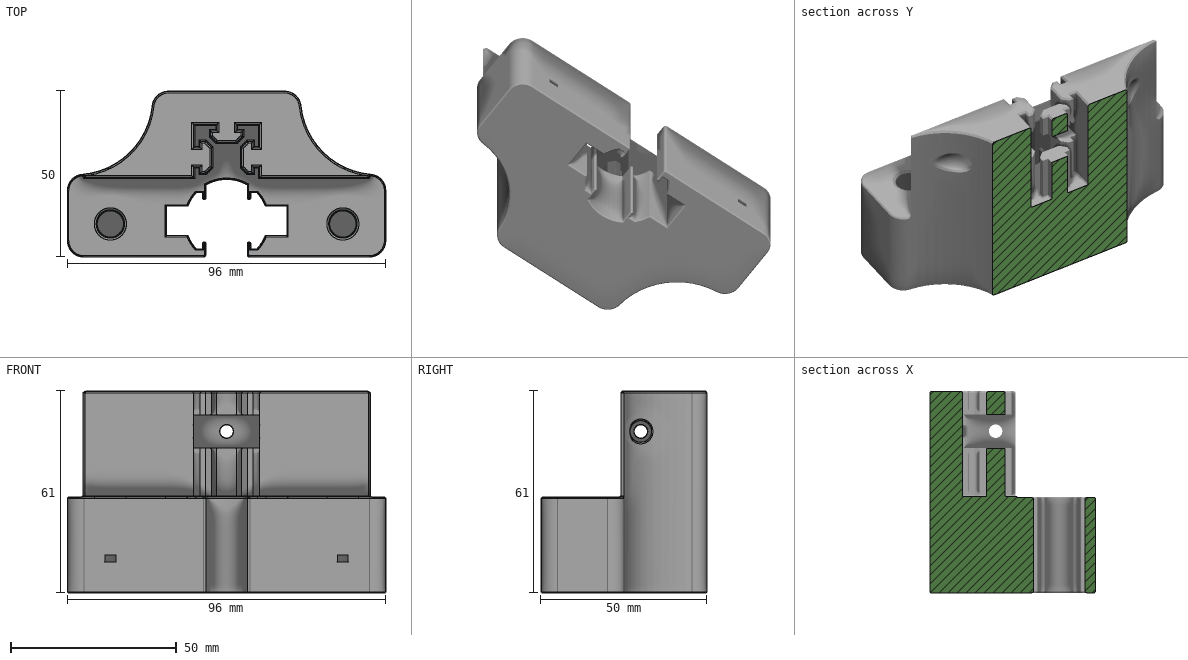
import cadquery as cq
import math

width = 96.0
depth = 50.0
height = 61.0
base_height = 29.0
tower_front = 24.0

corner_radius = 5.0
side_corner_y = 20.0
back_flat_half = 17.5
flank_radius = 23.0

tip_half = 43.3
tip_run = 0.6
tip_rise = 0.9

top_chamfer = 0.53
base_chamfer = 0.4
flare = 0.4

rail_half = 10.0
rail_y = 30.0
tongue_neck_half = 2.9
tongue_head_half = 4.8
tongue_head_back = 8.0
tongue_tip = 4.5
tongue_bevel = 1.8

screw_z = 48.8
screw_window = 10.0
screw_diameter = 4.0
screw_head_diameter = 6.5
screw_head_chamfer = 0.5

pocket_y = 10.9
pocket_radius = 12.5
pocket_flat_half = 8.4
wing_half_length = 18.1
wing_half_width = 4.4
mouth_half = 6.2
mouth_radius = 0.8
lip_thickness = 1.1
lip_tip = 6.4

pin_x = 35.0
pin_y = 10.0
pin_diameter = 8.0
pin_rim_diameter = 9.7
pin_rim_chamfer = 0.6
window_width = 3.3
window_height = 2.1
window_z = 10.5

margin = 19.2
far = width


def box(x0, x1, y0, y1, z0, z1):
    """Box between two opposite corners."""
    return cq.Workplane("XY").box(x1 - x0, y1 - y0, z1 - z0, centered=False).translate((x0, y0, z0))


def mirror_x(point):
    """Point reflected to the other side of the middle plane."""
    return (-point[0], point[1])


def toward(start, end, distance):
    """Point at a distance from start on the line to end."""
    ratio = distance / math.dist(start, end)
    return tuple(a + (b - a) * ratio for a, b in zip(start, end))


def on_corner(center, angle):
    """Point on a corner rounding, at an angle in degrees from +X."""
    turn = math.radians(angle)
    return (center[0] + corner_radius * math.cos(turn), center[1] + corner_radius * math.sin(turn))


def outline():
    """Outer outline: rounded base corners, concave flanks and a rounded back."""
    front_corner = (width / 2 - corner_radius, corner_radius)
    side_corner = (width / 2 - corner_radius, side_corner_y)
    back_corner = (back_flat_half, depth - corner_radius)

    middle = tuple((a + b) / 2 for a, b in zip(side_corner, back_corner))
    span = math.dist(side_corner, back_corner)
    offset = math.sqrt((flank_radius + corner_radius) ** 2 - (span / 2) ** 2)
    flank = (
        middle[0] + offset * (back_corner[1] - side_corner[1]) / span,
        middle[1] + offset * (side_corner[0] - back_corner[0]) / span,
    )
    flank_start = toward(flank, side_corner, flank_radius)
    flank_middle = toward(flank, middle, flank_radius)
    flank_end = toward(flank, back_corner, flank_radius)

    front_end = on_corner(front_corner, -90)
    front_middle = on_corner(front_corner, -45)
    side_start = on_corner(front_corner, 0)
    side_end = on_corner(side_corner, 0)
    side_middle = on_corner(side_corner, 45)
    back_middle = on_corner(back_corner, 45)
    back_end = on_corner(back_corner, 90)
    return (
        cq.Workplane("XY")
        .moveTo(*mirror_x(front_end))
        .lineTo(*front_end)
        .threePointArc(front_middle, side_start)
        .lineTo(*side_end)
        .threePointArc(side_middle, flank_start)
        .threePointArc(flank_middle, flank_end)
        .threePointArc(back_middle, back_end)
        .lineTo(*mirror_x(back_end))
        .threePointArc(mirror_x(back_middle), mirror_x(flank_end))
        .threePointArc(mirror_x(flank_middle), mirror_x(flank_start))
        .threePointArc(mirror_x(side_middle), mirror_x(side_end))
        .lineTo(*mirror_x(side_start))
        .threePointArc(mirror_x(front_middle), mirror_x(front_end))
        .close()
    )


def pocket():
    """Round pocket with side wings, open to the front between two pairs of lips."""
    bore = cq.Workplane("XY").center(0, pocket_y).circle(pocket_radius).extrude(base_height)
    flats = box(-far, far, pocket_y - pocket_flat_half, pocket_y + pocket_flat_half, 0, base_height)
    crown = box(-mouth_half, mouth_half, pocket_y, depth, 0, base_height)
    mouth = box(-mouth_half, mouth_half, -margin, pocket_y, 0, base_height)
    wings = box(
        -wing_half_length,
        wing_half_length,
        pocket_y - wing_half_width,
        pocket_y + wing_half_width,
        0,
        base_height,
    )
    space = bore.intersect(flats).union(bore.intersect(crown)).union(mouth).union(wings)
    lip_x = mouth_half + lip_thickness / 2
    lips = (
        cq.Workplane("XY")
        .center(0, pocket_y)
        .rarray(2 * lip_x, 2 * pocket_flat_half, 2, 2)
        .slot2D(2 * (pocket_flat_half - lip_tip), lip_thickness, 90)
        .extrude(base_height)
    )
    return space.cut(lips)


def base_block():
    """Base with its pocket, a rounded mouth and broken top and bottom edges."""
    reach = mouth_half + mouth_radius
    mouth_corners = cq.selectors.BoxSelector(
        (-reach, -mouth_radius, 0), (reach, mouth_radius, base_height)
    )
    base = outline().extrude(base_height).cut(pocket())
    base = base.edges("|Z").edges(mouth_corners).fillet(mouth_radius)
    return base.faces("<Z or >Z").chamfer(base_chamfer)


def tongue(angle):
    """T-shaped tongue of the tower; at angle 0 its neck points to the back."""
    half_profile = [
        (tongue_neck_half, rail_half + margin),
        (tongue_neck_half, tongue_head_back),
        (tongue_head_half, tongue_head_back),
        (tongue_head_half, tongue_tip + tongue_bevel),
        (tongue_head_half - tongue_bevel, tongue_tip),
    ]
    profile = half_profile + [mirror_x(point) for point in reversed(half_profile)]
    solid = cq.Workplane("XY").polyline(profile).close().extrude(height)
    return solid.rotate((0, 0, 0), (0, 0, 1), angle).translate((0, rail_y, 0))


def tower_clearance():
    """Space above the base: in front of the tower, beside its tips and in the rail channel."""
    half_profile = [
        (tip_half - tip_run, tower_front),
        (tip_half + tip_run, tower_front + 2 * tip_rise),
        (far, tower_front + 2 * tip_rise),
        (far, -margin),
    ]
    profile = half_profile + [mirror_x(point) for point in reversed(half_profile)]
    front = cq.Workplane("XY", origin=(0, 0, base_height)).polyline(profile).close()
    space = front.extrude(height - base_height)
    space = space.union(box(-rail_half, rail_half, 0, rail_y + rail_half, base_height, height))
    for angle in (-90, 0, 90):
        space = space.cut(tongue(angle))
    return space.faces("<Z").chamfer(flare)


def tower():
    """Tower above the base, with all its top edges broken."""
    stock = box(-far, far, 0, far, base_height, height).cut(tower_clearance())
    stock = stock.faces(">Z").chamfer(top_chamfer)
    body = outline().extrude(height).faces(">Z").chamfer(top_chamfer)
    return body.intersect(stock)


def tower_foot():
    """Fills the broken edge of the base where the tower stands on it."""
    body = outline().extrude(base_height)
    footing = box(-far, far, tower_front + tip_rise, far, base_height - base_chamfer, base_height)
    return body.intersect(footing)


def cylinder_x(diameter, x0, x1):
    """Cylinder along X through the rail axis, at screw height."""
    plane = cq.Workplane("YZ", origin=(x0, rail_y, screw_z))
    return plane.circle(diameter / 2).extrude(x1 - x0)


def cut_clamp_screws(part):
    """Screw window, one screw hole to the back and two counterbored seats in the flanks."""
    part = part.cut(
        box(
            -rail_half,
            rail_half,
            rail_y - rail_half,
            rail_y + rail_half,
            screw_z - screw_window / 2,
            screw_z + screw_window / 2,
        )
    )
    back_hole = cq.Workplane("XZ", origin=(0, rail_y, screw_z)).circle(screw_diameter / 2)
    part = part.cut(back_hole.extrude(rail_y - depth))
    part = part.cut(cylinder_x(screw_diameter, -far, far))

    seat_x = depth - rail_y
    rim_half = screw_head_diameter / 2 + screw_head_chamfer
    for side in (-1, 1):
        part = part.cut(cylinder_x(screw_head_diameter, side * seat_x, side * far))
        rim = cq.selectors.BoxSelector(
            (side * (seat_x + screw_head_chamfer), rail_y - rim_half, screw_z - rim_half),
            (side * far, rail_y + rim_half, screw_z + rim_half),
            boundingbox=True,
        )
        part = part.edges(rim).chamfer(screw_head_chamfer)
    return part


def cut_pin_hole(part, x):
    """Blind hole with a bevelled rim and a window from the front at its floor."""
    floor = window_z - window_height / 2
    hole = cq.Workplane("XY", origin=(x, pin_y, floor)).circle(pin_diameter / 2)
    rim = (
        cq.Workplane("XY", origin=(x, pin_y, base_height - pin_rim_chamfer))
        .circle(pin_rim_diameter / 2 - pin_rim_chamfer)
        .workplane(offset=pin_rim_chamfer)
        .circle(pin_rim_diameter / 2)
        .loft()
    )
    window = box(x - window_width / 2, x + window_width / 2, 0, pin_y, floor, floor + window_height)
    return part.cut(hole.extrude(base_height - floor)).cut(rim).cut(window)


result = base_block().union(tower_foot()).union(tower())
result = cut_clamp_screws(result)
for pin_side in (-1, 1):
    result = cut_pin_hole(result, pin_side * pin_x)